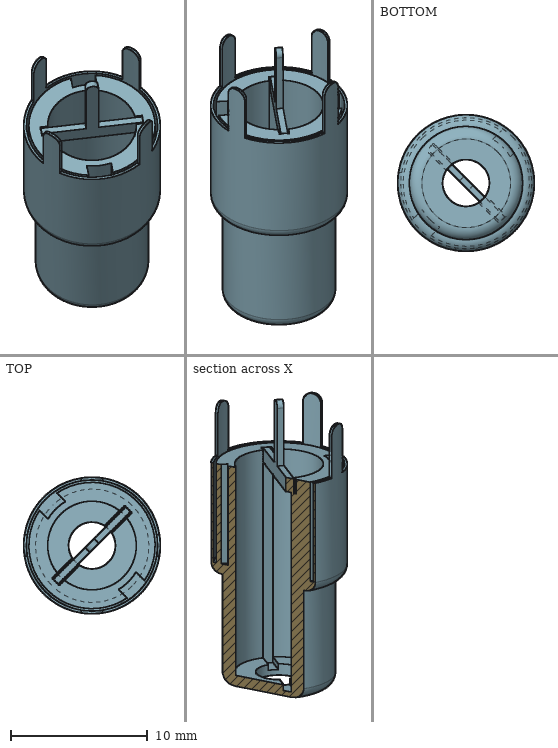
import cadquery as cq

total_height = 22.0
rim_height = 17.03
tab_top = 21.0
shoulder_height = 8.5

shell_diameter = 10.0
shell_inner_diameter = 9.6
insulator_diameter = 9.25
nose_diameter = 8.3
bore_diameter = 6.5
pin_hole_diameter = 3.4
edge_radius = 0.9
shoulder_radius = 0.84
floor_thickness = 0.88

tab_width = 1.55
tab_corner_radius = 0.7
tab_count = 4
cut_clearance = 0.22

keyway_width = 1.8
keyway_root_diameter = 7.52
keyway_angles = (135, -45)

contact_angle = 45
contact_length = 7.48
contact_thickness = 0.5
contact_depth = 1.12
pin_width = 0.95
slot_length = 7.52
slot_width = 0.75
groove_length = 6.51

gap_floor = shoulder_height + shoulder_radius
contact_floor = rim_height - contact_depth
tip_centre = total_height - pin_width / 2


def cylinder(diameter, bottom, top):
    return cq.Workplane("XY").workplane(offset=bottom).circle(diameter / 2).extrude(top - bottom)


def ring(outer_diameter, inner_diameter, bottom, top):
    return cylinder(outer_diameter, bottom, top).cut(cylinder(inner_diameter, bottom, top))


def bar(length, width, bottom, top):
    return cq.Workplane("XY").workplane(offset=bottom).rect(length, width).extrude(top - bottom)


def turn(shape, angle):
    return shape.rotate((0, 0, 0), (0, 0, 1), angle)


def make_tab_outline():
    outline = bar(shell_diameter + 2 * cut_clearance, tab_width, rim_height, tab_top)
    return outline.edges("|X and >Z").fillet(tab_corner_radius)


def make_body():
    nose = cylinder(nose_diameter, 0, rim_height).faces("<Z").edges().fillet(edge_radius)
    shell = cylinder(shell_diameter, shoulder_height, tab_top)
    shell = shell.faces("<Z").edges().fillet(shoulder_radius)
    shell = shell.cut(cylinder(shell_inner_diameter, rim_height, tab_top))
    above_rim = cylinder(shell_diameter + 2 * cut_clearance, rim_height, tab_top)
    for tab_index in range(tab_count // 2):
        above_rim = above_rim.cut(turn(make_tab_outline(), tab_index * 360 / tab_count))
    body = shell.cut(above_rim).union(nose)
    body = body.cut(cylinder(bore_diameter, floor_thickness, rim_height))
    body = body.cut(cylinder(pin_hole_diameter, 0, floor_thickness))
    return body.cut(ring(shell_inner_diameter, insulator_diameter, gap_floor, rim_height))


def make_keyway(angle):
    keyway_ring = ring(shell_inner_diameter, keyway_root_diameter, gap_floor, rim_height)
    half_bar = bar(shell_diameter / 2, keyway_width, gap_floor, rim_height)
    half_bar = half_bar.translate((shell_diameter / 4, 0, 0))
    return turn(keyway_ring.intersect(half_bar), angle)


def make_contact_slot():
    seat = bar(slot_length, slot_width, contact_floor, rim_height)
    groove = bar(groove_length, slot_width, floor_thickness / 2, rim_height)
    return turn(seat.union(groove), contact_angle)


def make_contact():
    crossbar = bar(contact_length, contact_thickness, contact_floor, rim_height)
    pin = bar(pin_width, contact_thickness, contact_floor, tip_centre)
    tip = cq.Workplane("XZ").center(0, tip_centre).circle(pin_width / 2)
    pin = pin.union(tip.extrude(contact_thickness / 2, both=True))
    return turn(crossbar.union(pin), contact_angle)


result = make_body()
for keyway_angle in keyway_angles:
    result = result.cut(make_keyway(keyway_angle))
result = result.cut(make_contact_slot())
result = result.union(make_contact())